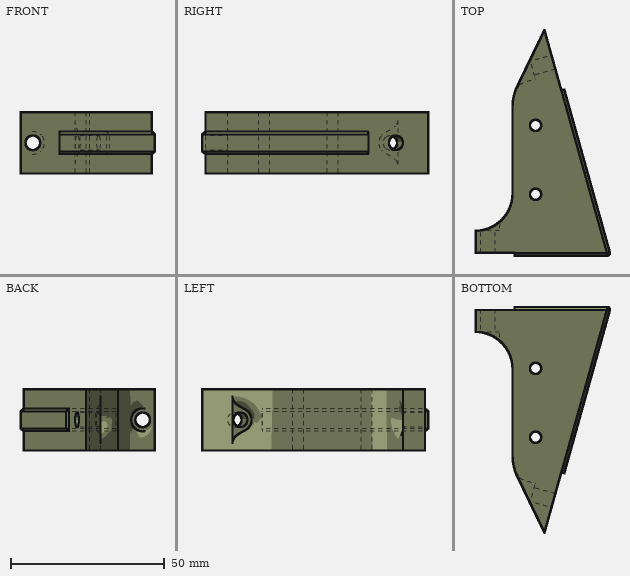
import cadquery as cq
import math

thickness = 20.0
base_length = 42.78
apex_x = 22.45
apex_y = 72.63
flange_thickness = 7.2
concave_radius = 12.0
shoulder_y = 51.0
shoulder_radius = 15.0

pin_diameter = 3.6
pin_x = 19.55
pin_ys = (19.05, 41.5)

rib_height = 1.0
rib_base_width = 7.3
rib_top_width = 5.55
base_rib_length = 30.15
slope_rib_length = 55.0

screw_diameter = 4.7
head_radius = 3.75
head_rounding = 4.2
seat_distance = flange_thickness
flange_screw_x = 4.0
slope_screw_position = 64.5

mid_z = thickness / 2
left_x = concave_radius
concave_center_y = flange_thickness + concave_radius
slope_angle = math.atan2(base_length - apex_x, apex_y)
slope_out = cq.Vector(math.cos(slope_angle), math.sin(slope_angle), 0)
slope_up = cq.Vector(-math.sin(slope_angle), math.cos(slope_angle), 0)
base_corner = cq.Vector(base_length, 0, mid_z)
tool_size = 60.0


def wedge_body():
    """Wedge with the concave sweep and the rounded shoulder."""
    arc_offset = concave_radius * math.sqrt(0.5)
    outline = (
        cq.Workplane("XY")
        .moveTo(0, 0)
        .lineTo(base_length, 0)
        .lineTo(apex_x, apex_y)
        .lineTo(left_x, shoulder_y)
        .lineTo(left_x, concave_center_y)
        .threePointArc((arc_offset, concave_center_y - arc_offset), (0, flange_thickness))
        .close()
    )
    body = outline.extrude(thickness)
    shoulder = cq.selectors.NearestToPointSelector((left_x, shoulder_y, mid_z))
    return body.edges(shoulder).fillet(shoulder_radius)


def rib_profile(outward, run_direction):
    """Trapezoid at the base corner: local x points outward, the run is the normal."""
    plane = cq.Plane(base_corner, xDir=outward, normal=run_direction)
    return (
        cq.Workplane(plane)
        .moveTo(0, -rib_base_width / 2)
        .lineTo(rib_height, -rib_top_width / 2)
        .lineTo(rib_height, rib_top_width / 2)
        .lineTo(0, rib_base_width / 2)
        .close()
    )


def locating_rib():
    """Rib along the base face and the sloped face, joined by a cone at the corner."""
    base_run = rib_profile(cq.Vector(0, -1, 0), cq.Vector(-1, 0, 0)).extrude(base_rib_length)
    slope_run = rib_profile(slope_out, slope_up).extrude(slope_rib_length)
    corner_turn = rib_profile(slope_out, slope_up).revolve(360, (0, 0), (0, 1))
    return base_run.union(slope_run).union(corner_turn)


def pin_holes():
    pin_points = [(pin_x, pin_y) for pin_y in pin_ys]
    return cq.Workplane("XY").pushPoints(pin_points).circle(pin_diameter / 2).extrude(thickness)


def rounded_head_pocket(body, face_point, into_part):
    """Bore the screw head pocket down to its seat and round the mouth of the bore."""
    seat_point = face_point + into_part * seat_distance
    seat_plane = cq.Plane(seat_point, xDir=(0, 0, 1), normal=into_part)
    bore = cq.Workplane(seat_plane).circle(head_radius).extrude(tool_size)

    mouth = body.cut(bore).edges("%ELLIPSE or %BSPLINE")
    nearest_mouth = cq.selectors.NearestToPointSelector(seat_point.toTuple())
    return mouth.edges(nearest_mouth).fillet(head_rounding)


def screw_hole(face_point, into_part):
    face_plane = cq.Plane(face_point, xDir=(0, 0, 1), normal=into_part)
    return cq.Workplane(face_plane).circle(screw_diameter / 2).extrude(seat_distance)


screws = (
    (cq.Vector(flange_screw_x, 0, mid_z), cq.Vector(0, 1, 0)),
    (base_corner + slope_up * slope_screw_position, slope_out * -1),
)

result = wedge_body()
for screw_point, screw_direction in screws:
    result = rounded_head_pocket(result, screw_point, screw_direction)
    result = result.cut(screw_hole(screw_point, screw_direction))
result = result.union(locating_rib()).cut(pin_holes())